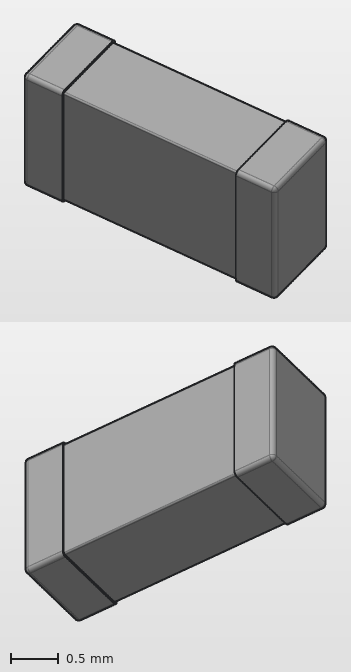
import cadquery as cq

length = 3.2
depth = 1.0
height = 1.6

terminal_length = 0.5
terminal_radius = 0.05
body_inset = 0.025
body_radius = 0.02


def rounded_block():
    """Full-size block with every outer edge rounded."""
    return cq.Workplane("XY").box(length, depth, height).edges().fillet(terminal_radius)


def terminal(block, side):
    """End slice of the block; side is -1 for the -X end and 1 for the +X end."""
    center_x = side * (length - terminal_length) / 2
    slice_box = cq.Workplane("XY").box(terminal_length, depth, height)
    return block.intersect(slice_box.translate((center_x, 0, 0)))


def body():
    """Central bar between the terminals, with rounded long edges."""
    return (
        cq.Workplane("XY")
        .box(length - 2 * terminal_length, depth - 2 * body_inset, height - 2 * body_inset)
        .edges("|X")
        .fillet(body_radius)
    )


block = rounded_block()
result = body()
for side in (-1, 1):
    result = result.union(terminal(block, side))